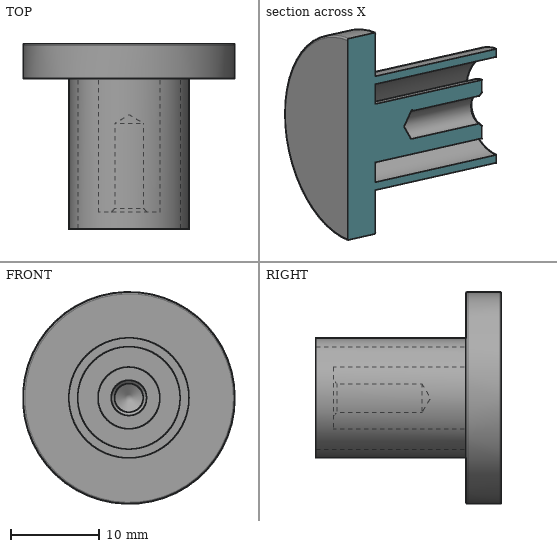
import cadquery as cq
import math

flange_diameter = 24.0
flange_thickness = 4.0
flange_edge_radius = 0.2

tube_outer_diameter = 13.6
tube_inner_diameter = 11.6
tube_length = 17.0

post_diameter = 7.0
post_recess = 2.0

hole_diameter = 3.24
hole_mouth_diameter = 4.0
hole_depth = 10.0
drill_point_angle = 118.0

post_length = tube_length - post_recess


def cylinder(diameter, length):
    """Cylinder around the Y axis, from the flange face at Y = 0 toward -Y."""
    return cq.Workplane("XZ").circle(diameter / 2).extrude(length)


def make_flange():
    disc = cylinder(flange_diameter, -flange_thickness)
    return disc.edges().fillet(flange_edge_radius)


def make_tube():
    return cylinder(tube_outer_diameter, tube_length).cut(cylinder(tube_inner_diameter, tube_length))


def make_hole():
    """Revolved cutter: 45 degree countersink, straight bore and drill point."""
    bore_radius = hole_diameter / 2
    mouth_radius = hole_mouth_diameter / 2
    point_length = bore_radius / math.tan(math.radians(drill_point_angle / 2))
    mouth_y = -post_length
    countersink_y = mouth_y + mouth_radius - bore_radius
    bottom_y = mouth_y + hole_depth
    return (
        cq.Workplane("XY")
        .moveTo(0, mouth_y)
        .lineTo(mouth_radius, mouth_y)
        .lineTo(bore_radius, countersink_y)
        .lineTo(bore_radius, bottom_y)
        .lineTo(0, bottom_y + point_length)
        .close()
        .revolve(360, (0, 0, 0), (0, 1, 0))
    )


post = cylinder(post_diameter, post_length)
result = make_flange().union(make_tube()).union(post).cut(make_hole())